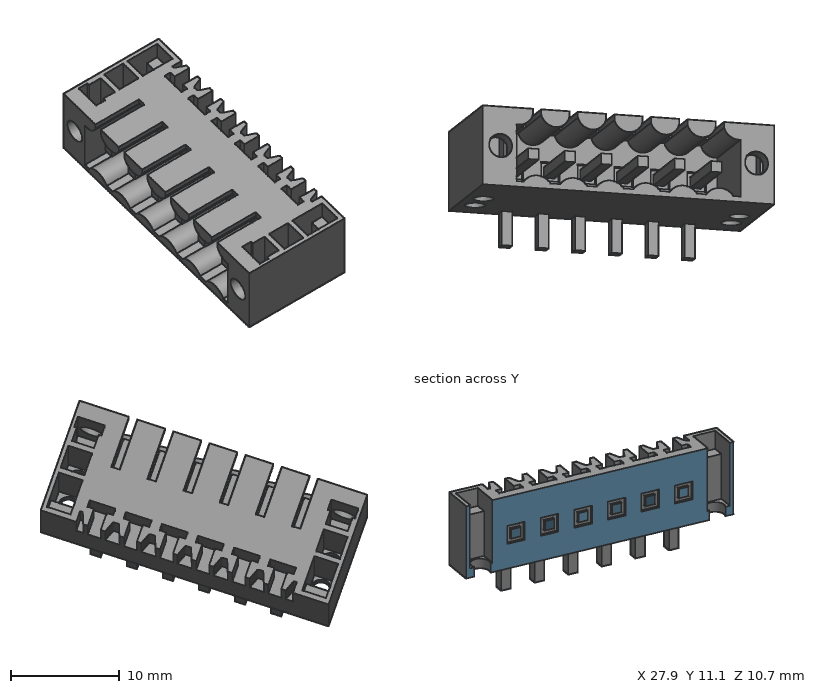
import cadquery as cq
import math

contact_count = 6
pitch = 3.5
contact_x = [(i - (contact_count - 1) / 2) * pitch for i in range(contact_count)]
between_x = [(i - contact_count / 2) * pitch for i in range(contact_count + 1)]
pin_size = 1.0
pin_axis_z = 3.48
pin_tip_y = 1.2
pin_tail = 3.2
pin_back_gap = 0.35

length = 27.9
depth = 11.05
height = 7.45

cavity_half = 10.72
cavity_depth = 7.5
floor_z = 0.5
hump_radius = 1.6
hump_height = 0.68
hump_half = math.sqrt(hump_radius**2 - (hump_radius - hump_height)**2)
key_bottom_z = 5.87
key_radius = 1.4
slot_width = 0.8
slot_length = 5.05
key_half = (pitch - slot_width) / 2
key_top_z = key_bottom_z + key_radius - math.sqrt(key_radius**2 - key_half**2)
collar_size = 1.8
collar_depth = 0.5

rear_floor_z = 4.5
tee_stem_width = 1.25
tee_head_width = 2.5
tee_head_start = 1.7
tee_head_end = 2.35
notch_mouth_half = 0.7
notch_tip_half = 0.27
notch_depth = 1.08
notch_round = 0.1

end_axis_x = 12.25
pocket_inner_x = 11.23
pocket_outer_x = 13.53
pocket_floor_z = 1.0
rear_pocket_start = 0.5
rear_ledge_end = 1.7
rear_pocket_end = 3.95
ledge_z = 5.6
middle_pocket_start = 4.45
middle_pocket_end = 6.65
peg_hole_diameter = 1.9
peg_hole_offsets = [2.85, 5.53]
nut_slot_front_y = 1.5
nut_slot_back_y = 2.52
nut_pocket_back_y = 3.87
nut_slot_inner_x = 10.97
nut_slot_outer_x = 13.6
nut_pocket_outer_x = 13.36
screw_hole_diameter = 2.2
screw_hole_z = 3.77


def box(x0, x1, y0, y1, z0, z1):
    """Axis-aligned block between two opposite corners."""
    return cq.Workplane("XY").box(x1 - x0, y1 - y0, z1 - z0, centered=False).translate((x0, y0, z0))


def mating_cavity():
    """Cavity opening to the front, scalloped by floor ribs and roof keys."""
    def key_height(offset):
        return key_bottom_z + key_radius - math.sqrt(key_radius**2 - offset**2)

    outline = cq.Workplane("XZ").moveTo(-cavity_half, floor_z)
    for x in contact_x:
        outline = outline.lineTo(x - hump_half, floor_z)
        outline = outline.threePointArc((x, floor_z + hump_height), (x + hump_half, floor_z))
    outline = outline.lineTo(cavity_half, floor_z).lineTo(cavity_half, key_bottom_z)
    outline = outline.lineTo(between_x[-1], key_bottom_z)
    for x in reversed(contact_x):
        right_key_x = x + pitch / 2
        left_key_x = x - pitch / 2
        mid_z = key_height(key_half / 2)
        outline = outline.threePointArc((right_key_x - key_half / 2, mid_z), (x + slot_width / 2, key_top_z))
        outline = outline.lineTo(x - slot_width / 2, key_top_z)
        outline = outline.threePointArc((left_key_x + key_half / 2, mid_z), (left_key_x, key_bottom_z))
    return outline.lineTo(-cavity_half, key_bottom_z).close().extrude(-cavity_depth)


def pin(x):
    """Right-angle square pin: horizontal contact and a tail pointing down."""
    half = pin_size / 2
    back_y = depth - pin_back_gap
    contact = box(x - half, x + half, pin_tip_y, back_y, pin_axis_z - half, pin_axis_z + half)
    tail = box(x - half, x + half, back_y - pin_size, back_y, -pin_tail, pin_axis_z + half)
    return contact.union(tail)


def contact_cuts(x):
    """Key gap, rear-wall recess and T-shaped rear slot of one contact."""
    gap = box(x - slot_width / 2, x + slot_width / 2, 0, slot_length, floor_z + hump_height, height)
    half = collar_size / 2
    recess = box(x - half, x + half, cavity_depth, cavity_depth + collar_depth,
                 pin_axis_z - half, pin_axis_z + half)
    stem = box(x - tee_stem_width / 2, x + tee_stem_width / 2,
               depth - tee_head_start, depth, rear_floor_z, height)
    head = box(x - tee_head_width / 2, x + tee_head_width / 2,
               depth - tee_head_end, depth - tee_head_start, rear_floor_z, height)
    return [gap, recess, stem, head]


def rear_notch(x):
    """Tapered notch in the rear face; the outermost ones are halved."""
    tip_y = depth - notch_depth
    notch = (
        cq.Workplane("XY", origin=(x, 0, rear_floor_z))
        .moveTo(-notch_mouth_half, depth)
        .lineTo(-notch_tip_half, tip_y)
        .lineTo(notch_tip_half, tip_y)
        .lineTo(notch_mouth_half, depth)
        .close()
        .extrude(height - rear_floor_z)
        .edges("|Z and <Y").fillet(notch_round)
    )
    return notch.intersect(box(between_x[0], between_x[-1], 0, depth, 0, height))


def end_cuts():
    """Pockets, peg holes and screw hole of the +X end."""
    rear_ledge = box(pocket_inner_x, pocket_outer_x,
                     depth - rear_ledge_end, depth - rear_pocket_start, ledge_z, height)
    rear_pocket = box(pocket_inner_x, pocket_outer_x,
                      depth - rear_pocket_end, depth - rear_ledge_end, pocket_floor_z, height)
    middle_pocket = box(pocket_inner_x, pocket_outer_x,
                        depth - middle_pocket_end, depth - middle_pocket_start, pocket_floor_z, height)
    nut_slot = box(nut_slot_inner_x, nut_slot_outer_x,
                   nut_slot_front_y, nut_slot_back_y, pocket_floor_z, height)
    nut_pocket = box(pocket_inner_x, nut_pocket_outer_x,
                     nut_slot_back_y, nut_pocket_back_y, pocket_floor_z, height)
    peg_holes = [
        cq.Workplane("XY").center(end_axis_x, depth - offset)
        .circle(peg_hole_diameter / 2).extrude(pocket_floor_z)
        for offset in peg_hole_offsets
    ]
    screw_hole = (
        cq.Workplane("XZ").center(end_axis_x, screw_hole_z)
        .circle(screw_hole_diameter / 2).extrude(-nut_slot_front_y)
    )
    return [rear_ledge, rear_pocket, middle_pocket, nut_slot, nut_pocket, *peg_holes, screw_hole]


pins = [pin(x) for x in contact_x]

housing = box(-length / 2, length / 2, 0, depth, 0, height).cut(mating_cavity())
for x in contact_x:
    for cutter in contact_cuts(x):
        housing = housing.cut(cutter)
for x in between_x:
    housing = housing.cut(rear_notch(x))
for cutter in end_cuts():
    housing = housing.cut(cutter).cut(cutter.mirror("YZ"))
for contact_pin in pins:
    housing = housing.cut(contact_pin)

result = cq.Compound.makeCompound([
    housing.solids().val(),
    *[contact_pin.solids().val() for contact_pin in pins],
])